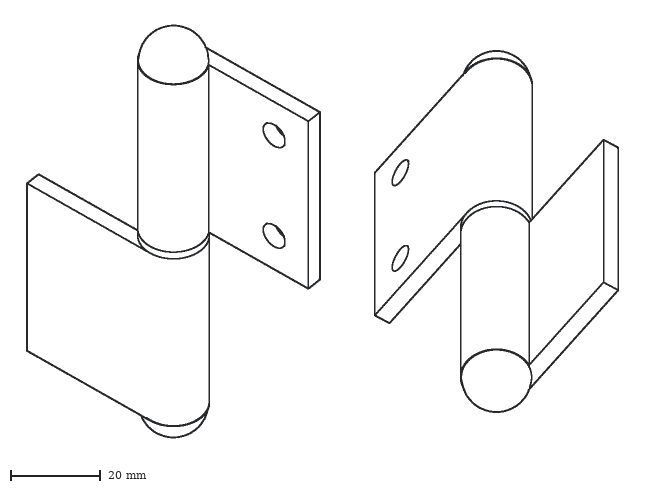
import cadquery as cq

OVERALL_HEIGHT = 117.8
OVERALL_WIDTH = 72.0
KNUCKLE_RADIUS = 8.0
LEAF_HEIGHT = 50.1
LEAF_THICKNESS = 4.0
WASHER_THICKNESS = 2.0
HOLE_DIAMETER = 6.4
HOLE_SPACING = 30.0
HOLE_EDGE_DISTANCE = 10.0

LEAF_REACH = OVERALL_WIDTH / 2
LEAF_BASE = WASHER_THICKNESS / 2
LEAF_TOP = LEAF_BASE + LEAF_HEIGHT
CAP_RADIUS = OVERALL_HEIGHT / 2 - LEAF_TOP


def make_plain_leaf():
    """Upper leaf: a solid knuckle with a plate tangent to its +Y side."""
    knuckle = cq.Workplane("XY").circle(KNUCKLE_RADIUS).extrude(LEAF_HEIGHT)
    plate = (
        cq.Workplane("XY")
        .box(LEAF_REACH, LEAF_THICKNESS, LEAF_HEIGHT, centered=False)
        .translate((0, KNUCKLE_RADIUS - LEAF_THICKNESS, 0))
    )
    return knuckle.union(plate).translate((0, 0, LEAF_BASE))


def make_screw_holes():
    """Two cutters through the plate, one above the other and centred on its height."""
    hole_x = LEAF_REACH - HOLE_EDGE_DISTANCE
    hole_middle_z = LEAF_BASE + LEAF_HEIGHT / 2
    return (
        cq.Workplane("XZ")
        .center(hole_x, hole_middle_z)
        .rarray(1.2, HOLE_SPACING, 1, 2)
        .circle(HOLE_DIAMETER / 2)
        .extrude(-KNUCKLE_RADIUS)
    )


def make_washer():
    """Spacer disc between the two knuckles."""
    disc = cq.Workplane("XY").circle(KNUCKLE_RADIUS).extrude(WASHER_THICKNESS)
    return disc.translate((0, 0, -LEAF_BASE))


def make_cap(end):
    """Hemispherical cap on the outer end of a knuckle: end is 1 for the top, -1 for the bottom."""
    dome = (
        cq.Workplane("XZ")
        .lineTo(CAP_RADIUS, 0)
        .radiusArc((0, CAP_RADIUS), -CAP_RADIUS)
        .close()
        .revolve(360, (0, 0, 0), (0, 1, 0))
        .translate((0, 0, LEAF_TOP))
    )
    if end < 0:
        dome = dome.mirror("XY")
    return dome


upper_leaf = make_plain_leaf().cut(make_screw_holes())

lower_leaf = (
    make_plain_leaf()
    .rotate((0, 0, 0), (0, 0, 1), 180)
    .translate((0, 0, -LEAF_TOP - LEAF_BASE))
)

washer = make_washer()
caps = [make_cap(end) for end in (1, -1)]

result = cq.Compound.makeCompound(
    [upper_leaf.val(), lower_leaf.val(), washer.val(), *[cap.val() for cap in caps]]
)